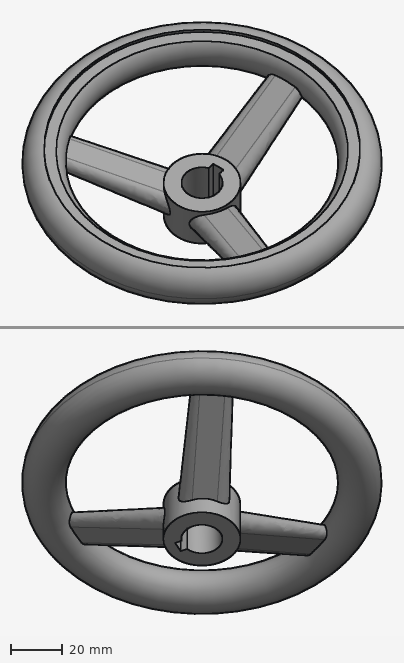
import cadquery as cq
import math

OUTER_DIAMETER = 140.0
TOTAL_HEIGHT = 39.0

RIM_TUBE_RADIUS = 8.5
RIM_STEP_DEPTH = 1.4
RIM_RADIUS = OUTER_DIAMETER / 2 - RIM_TUBE_RADIUS
RIM_CENTER_Z = TOTAL_HEIGHT - RIM_TUBE_RADIUS

HUB_DIAMETER = 30.0
HUB_HEIGHT = 18.9
BORE_DIAMETER = 16.0
KEY_WIDTH = 5.0
KEY_TOP = 10.4

SPOKE_COUNT = 3
SPOKE_FLAT_WIDTH = 9.8
SPOKE_INNER_RADIUS = 9.8
SPOKE_OUTER_RADIUS = 57.4
SPOKE_INNER_Z = 10.2
SPOKE_OUTER_Z = 29.8
SPOKE_INNER_THICKNESS = 10.2
SPOKE_OUTER_THICKNESS = 6.5


def make_rim():
    step_z = TOTAL_HEIGHT - RIM_STEP_DEPTH
    step_height = step_z - RIM_CENTER_Z
    step_width = math.sqrt(RIM_TUBE_RADIUS**2 - step_height**2)
    diagonal = RIM_TUBE_RADIUS * math.sqrt(0.5)
    outer = (RIM_RADIUS + RIM_TUBE_RADIUS, RIM_CENTER_Z)
    bottom = (RIM_RADIUS, RIM_CENTER_Z - RIM_TUBE_RADIUS)
    return (
        cq.Workplane("XZ")
        .moveTo(RIM_RADIUS - step_width, step_z)
        .lineTo(RIM_RADIUS, step_z)
        .lineTo(RIM_RADIUS, TOTAL_HEIGHT)
        .threePointArc((RIM_RADIUS + diagonal, RIM_CENTER_Z + diagonal), outer)
        .threePointArc(bottom, (RIM_RADIUS - step_width, step_z))
        .close()
        .revolve(360, (0, 0), (0, 1))
    )


def make_hub():
    return cq.Workplane("XY").circle(HUB_DIAMETER / 2).extrude(HUB_HEIGHT)


def make_bore():
    bore = cq.Workplane("XY").circle(BORE_DIAMETER / 2).extrude(HUB_HEIGHT)
    keyway = cq.Workplane("XY").box(
        KEY_WIDTH, KEY_TOP, HUB_HEIGHT, centered=(True, False, False)
    )
    return bore.union(keyway)


def make_spoke():
    """Spoke rising outward along +Y, lofted between two upright slot sections."""
    return (
        cq.Workplane("XZ", origin=(0, 0, SPOKE_INNER_Z))
        .workplane(offset=-SPOKE_INNER_RADIUS)
        .slot2D(SPOKE_FLAT_WIDTH + SPOKE_INNER_THICKNESS, SPOKE_INNER_THICKNESS)
        .workplane(offset=SPOKE_INNER_RADIUS - SPOKE_OUTER_RADIUS)
        .center(0, SPOKE_OUTER_Z - SPOKE_INNER_Z)
        .slot2D(SPOKE_FLAT_WIDTH + SPOKE_OUTER_THICKNESS, SPOKE_OUTER_THICKNESS)
        .loft(ruled=True)
    )


wheel = make_rim().union(make_hub())
spoke = make_spoke()
for index in range(SPOKE_COUNT):
    angle = index * 360 / SPOKE_COUNT
    wheel = wheel.union(spoke.rotate((0, 0, 0), (0, 0, 1), angle))

result = wheel.cut(make_bore())